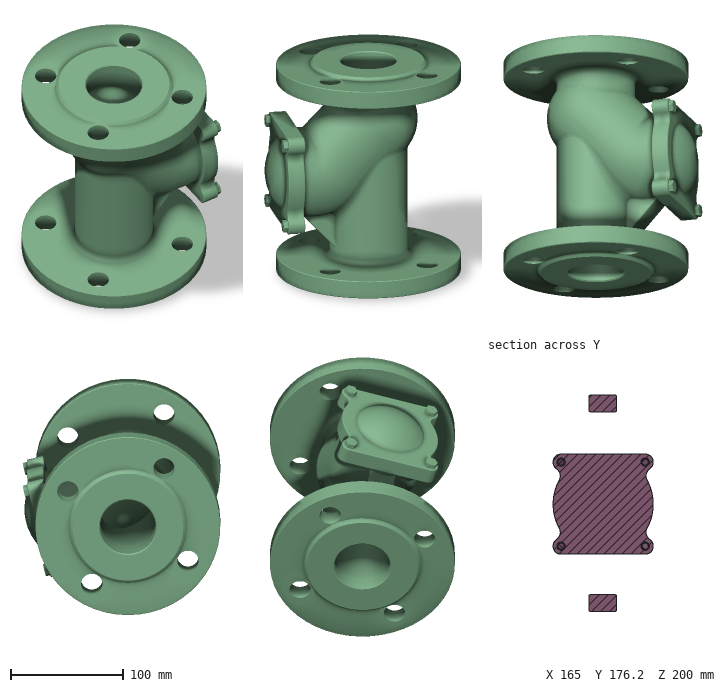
import cadquery as cq
import math

overall_height = 200
pipe_diameter = 70
bore_diameter = 50
bore_chamfer = 1.0
flange_diameter = 165.0
flange_thickness = 16
flange_fillet = 5.0
rim_chamfer = 0.5
raised_face_diameter = 105.0
raised_face_height = 3.0
bolt_hole_diameter = 19.0
bolt_circle_diameter = 125.0

chamber_diameter = 80
branch_angle = 45
chamber_y = -4
chamber_z = 145.0
neck_z = 99.2
elbow_radius = 30.5
branch_fillet = 6
neck_fillet = 2

joint_y = 74.5
plate_thickness = 7.5
plate_size = 90
plate_edge_fillet = 1.0
lug_radius = 7.5
lug_blend_radius = 7.5
dome_diameter = 63.0
dome_top_y = 93.7

rib_thickness = 24
rib_fillet = 1.2
rib_bottom_z = 32.5
rib_end_y = 60

bolt_diameter = 6
clearance_diameter = 7.0
head_width = 10
head_height = 4
bolt_engagement = 6

pick_margin = 0.2

chamber_radius = chamber_diameter / 2
pipe_radius = pipe_diameter / 2
plate_radius = plate_size / 2
lug_offset = plate_radius - lug_radius
cover_face_y = joint_y + plate_thickness
plate_back_y = joint_y - plate_thickness
bend_y = chamber_y + chamber_z - neck_z
elbow_tangent = elbow_radius * math.tan(math.radians(branch_angle / 2))
neck_start_y = bend_y + elbow_tangent
branch_length = (chamber_z - neck_z) * math.sqrt(2) - elbow_tangent


def cylinder(diameter, start, direction, length):
    solid = cq.Solid.makeCylinder(diameter / 2, length, cq.Vector(*start), cq.Vector(*direction))
    return cq.Workplane(solid)


def at_both_ends(shape):
    """A shape at the bottom of the pipe together with its mirror image at the top."""
    return shape.union(shape.mirror("XY", (0, 0, overall_height / 2)))


def end_flange():
    """Bottom flange with its raised face down and the fillet to the pipe on top."""
    top_z = raised_face_height + flange_thickness
    flange_radius = flange_diameter / 2
    raised_radius = raised_face_diameter / 2
    body = (
        cq.Workplane("XZ")
        .lineTo(raised_radius - raised_face_height, 0)
        .lineTo(raised_radius, raised_face_height)
        .lineTo(flange_radius - rim_chamfer, raised_face_height)
        .lineTo(flange_radius, raised_face_height + rim_chamfer)
        .lineTo(flange_radius, top_z - rim_chamfer)
        .lineTo(flange_radius - rim_chamfer, top_z)
        .lineTo(pipe_radius + flange_fillet, top_z)
        .radiusArc((pipe_radius, top_z + flange_fillet), flange_fillet)
        .lineTo(0, top_z + flange_fillet)
        .close()
        .revolve(360, (0, 0, 0), (0, 1, 0))
    )
    hole_pitch = bolt_circle_diameter / math.sqrt(2)
    holes = (
        cq.Workplane("XY")
        .rect(hole_pitch, hole_pitch, forConstruction=True)
        .vertices()
        .circle(bolt_hole_diameter / 2)
        .extrude(top_z)
    )
    return body.cut(holes)


def branch_run():
    """Solid ball chamber, sloping branch, elbow and level neck, all of one diameter."""
    chamber_center = (0, chamber_y, chamber_z)
    chamber = cq.Workplane("XY").sphere(chamber_radius).translate(chamber_center)
    branch = cylinder(chamber_diameter, chamber_center, (0, 1, -1), branch_length)
    neck_length = plate_back_y - neck_start_y
    neck = cylinder(chamber_diameter, (0, neck_start_y, neck_z), (0, 1, 0), neck_length)
    half_chord = math.sqrt(chamber_radius**2 - elbow_radius**2)
    elbow = (
        cq.Workplane("XZ", origin=(0, neck_start_y, neck_z))
        .moveTo(-half_chord, elbow_radius)
        .threePointArc((0, -chamber_radius), (half_chord, elbow_radius))
        .close()
        .revolve(branch_angle, (0, elbow_radius, 0), (-1, elbow_radius, 0))
    )
    return branch.union(elbow).union(neck).union(chamber)


def bore(solid_run):
    """Bore with chamfered mouths; it stops at the solid chamber and branch."""
    bore_radius = bore_diameter / 2
    hole = cq.Workplane("XY").circle(bore_radius).extrude(overall_height)
    mouth = cq.Workplane("XY").circle(bore_radius + bore_chamfer).extrude(bore_chamfer, taper=45)
    return hole.union(at_both_ends(mouth)).cut(solid_run)


def rib():
    """Rib whose sloping edge runs on into the pipe and into the neck."""
    neck_bottom_z = neck_z - chamber_radius
    slope = (neck_bottom_z - rib_bottom_z) / (rib_end_y - pipe_radius)
    overrun = 4
    top_z = neck_bottom_z + overrun * slope
    plate = (
        cq.Workplane("YZ", origin=(-rib_thickness / 2, 0, 0))
        .moveTo(pipe_radius - overrun, rib_bottom_z - overrun * slope)
        .lineTo(rib_end_y + overrun, top_z)
        .lineTo(pipe_radius - overrun, top_z)
        .close()
        .extrude(rib_thickness)
    )
    sloping_face = cq.selectors.DirectionMinMaxSelector(cq.Vector(0, 1, -1))
    return plate.faces(sloping_face).edges("not |X").fillet(rib_fillet)


def rib_root_edges(side):
    """Selects the edges where one side face of the rib meets the pipe and the neck."""
    inner_x = side * rib_thickness / 2 - pick_margin
    outer_x = side * rib_thickness / 2 + pick_margin
    at_pipe = cq.selectors.BoxSelector((inner_x, 0, rib_bottom_z), (outer_x, pipe_radius, neck_z))
    neck_root_z = neck_z - chamber_radius - rib_fillet
    at_neck = cq.selectors.BoxSelector((inner_x, 0, neck_root_z), (outer_x, plate_back_y, neck_z))
    return at_pipe + at_neck


def joint_plate(start_y):
    """Plate with flat top and bottom, round sides and a rounded lug at each corner."""
    lug_distance = lug_offset * math.sqrt(2)
    side_to_blend = plate_radius + lug_blend_radius
    lug_to_blend = lug_radius + lug_blend_radius
    lug_cosine = (side_to_blend**2 + lug_distance**2 - lug_to_blend**2) / (2 * side_to_blend * lug_distance)
    blend_angle = math.radians(45) - math.acos(lug_cosine)
    side_x = plate_radius * math.cos(blend_angle)
    side_z = plate_radius * math.sin(blend_angle)
    lug_share = lug_radius / lug_to_blend
    lug_x = lug_offset + lug_share * (side_to_blend * math.cos(blend_angle) - lug_offset)
    lug_z = lug_offset + lug_share * (side_to_blend * math.sin(blend_angle) - lug_offset)
    corner = lug_offset + lug_radius / math.sqrt(2)
    half = (
        cq.Workplane("XZ", origin=(0, start_y, neck_z))
        .moveTo(0, plate_radius)
        .lineTo(lug_offset, plate_radius)
        .threePointArc((corner, corner), (lug_x, lug_z))
        .radiusArc((side_x, side_z), -lug_blend_radius)
        .threePointArc((plate_radius, 0), (side_x, -side_z))
        .radiusArc((lug_x, -lug_z), -lug_blend_radius)
        .threePointArc((corner, -corner), (lug_offset, -plate_radius))
        .lineTo(0, -plate_radius)
    )
    return half.mirrorY().extrude(-plate_thickness)


def dome():
    height = dome_top_y - cover_face_y
    sphere_radius = (dome_diameter**2 / 4 + height**2) / (2 * height)
    return (
        cq.Workplane("XY", origin=(0, 0, neck_z))
        .moveTo(0, cover_face_y)
        .lineTo(dome_diameter / 2, cover_face_y)
        .radiusArc((0, dome_top_y), -sphere_radius)
        .close()
        .revolve(360, (0, 0, 0), (0, 1, 0))
    )


def hex_bolt():
    """Bolt along +Y with the underside of its head at the origin."""
    corner_diameter = head_width / math.cos(math.radians(30))
    head = cq.Workplane("XZ").polygon(6, corner_diameter).extrude(-head_height)
    shank = cq.Workplane("XZ").circle(bolt_diameter / 2).extrude(plate_thickness + bolt_engagement)
    return head.union(shank)


def bolt_socket():
    clearance = cq.Workplane("XZ").circle(clearance_diameter / 2).extrude(plate_thickness)
    thread = cq.Workplane("XZ").circle(bolt_diameter / 2).extrude(plate_thickness + bolt_engagement)
    return clearance.union(thread)


solid_run = branch_run()
housing = cq.Workplane("XY").circle(pipe_radius).extrude(overall_height).union(solid_run)
housing = housing.edges("%BSPLINE").fillet(branch_fillet)
housing = housing.union(rib())
housing = housing.edges(rib_root_edges(-1) + rib_root_edges(1)).fillet(rib_fillet)

back_plate = joint_plate(plate_back_y).faces("<Y").edges().fillet(plate_edge_fillet)
neck_rim = cq.selectors.BoxSelector(
    (-pick_margin, plate_back_y - pick_margin, neck_z - pick_margin),
    (pick_margin, plate_back_y + pick_margin, neck_z + pick_margin),
)
housing = housing.union(back_plate).edges("%CIRCLE").edges(neck_rim).fillet(neck_fillet)
housing = housing.union(at_both_ends(end_flange())).cut(bore(solid_run))

cover = joint_plate(joint_y).faces(">Y").edges().fillet(plate_edge_fillet).union(dome())
housing = housing.union(cover, clean=False)

bolts = []
for side in (-1, 1):
    for level in (-1, 1):
        place = (side * lug_offset, cover_face_y, neck_z + level * lug_offset)
        housing = housing.cut(bolt_socket().translate(place), clean=False)
        bolts.append(hex_bolt().translate(place))

result = cq.Compound.makeCompound([housing.val(), *[bolt.val() for bolt in bolts]])